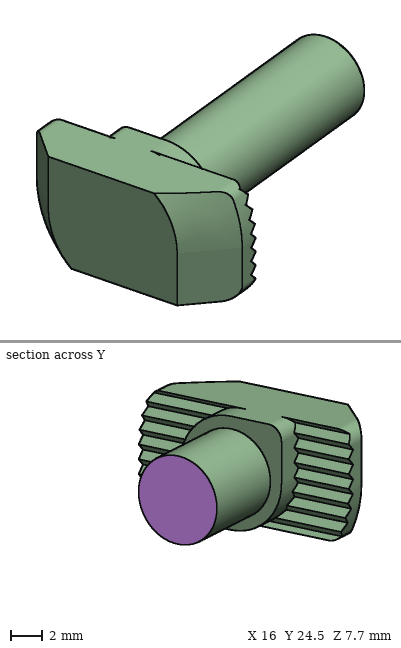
import cadquery as cq
import math

total_length = 24.5
head_width = 16.0
head_height = 7.7
head_thickness = 4.5
head_bevel = 3.0
corner_radius = 1.0

neck_length = 1.5
shank_diameter = 6.0
shank_chamfer = 0.61

tooth_pitch = 1.0
tooth_depth = tooth_pitch / 2

half_width = head_width / 2
half_height = head_height / 2
neck_end = head_thickness + neck_length


def along_bolt(start, diameter, length):
    """Cylinder on the bolt axis, running in +Y from start."""
    plane = cq.Workplane("XZ", origin=(0, start, 0))
    return plane.circle(diameter / 2).extrude(-length)


def neck_corner_blocks(start, length):
    """Rounded square corners in the neck's upper left and lower right quarters."""
    square = (
        cq.Workplane("XZ", origin=(0, start, 0))
        .rect(head_height, head_height)
        .extrude(-length)
        .edges("|Y")
        .fillet(corner_radius)
    )
    quarters = (
        cq.Workplane("XZ", origin=(0, start, 0))
        .pushPoints([(-half_height / 2, half_height / 2), (half_height / 2, -half_height / 2)])
        .rect(half_height, half_height)
        .extrude(-length)
    )
    return square.intersect(quarters)


def turning_head_outline():
    """Head outline: square in two opposite quarters, round in the other two."""
    curve_x = math.sqrt(half_width**2 - half_height**2)
    mid_angle = math.asin(half_height / half_width) / 2
    arc_x = half_width * math.cos(mid_angle)
    arc_z = half_width * math.sin(mid_angle)
    return (
        cq.Workplane("XZ")
        .moveTo(-half_width, half_height)
        .lineTo(curve_x, half_height)
        .threePointArc((arc_x, arc_z), (half_width, 0))
        .lineTo(half_width, -half_height)
        .lineTo(-curve_x, -half_height)
        .threePointArc((-arc_x, -arc_z), (-half_width, 0))
        .close()
        .extrude(-head_thickness)
        .edges("|Y and (>Z or <Z)")
        .fillet(corner_radius)
    )


def bevel_envelope():
    """Flat bevels on the square quarters and a cone on the round quarters."""
    front_half_width = half_width - head_bevel
    profile = [
        (0, 0),
        (front_half_width, 0),
        (half_width, head_bevel),
        (half_width, head_thickness),
        (0, head_thickness),
    ]
    flat_right = (
        cq.Workplane("XY", origin=(0, 0, -half_height)).polyline(profile).close().extrude(half_height)
    )
    flat_left = flat_right.rotate((0, 0, 0), (0, 1, 0), 180)
    cone = cq.Workplane("XY").polyline(profile).close().revolve(360, (0, 0, 0), (0, 1, 0))
    return cone.union(flat_right).union(flat_left)


def tooth_grooves():
    """V-grooves along X across the clamping face, with a tooth crest at mid-height."""
    groove_count = 2 * math.ceil(half_height / tooth_pitch)
    grooves = cq.Workplane("YZ", origin=(-half_width, 0, 0))
    for index in range(groove_count):
        z = (index - (groove_count - 1) / 2) * tooth_pitch
        grooves = grooves.moveTo(head_thickness, z - tooth_pitch / 2)
        grooves = grooves.lineTo(head_thickness - tooth_depth, z)
        grooves = grooves.lineTo(head_thickness, z + tooth_pitch / 2).close()
    return grooves.extrude(head_width)


head = turning_head_outline().intersect(bevel_envelope()).cut(tooth_grooves())

neck_start = head_thickness - tooth_depth
neck_depth = neck_end - neck_start
neck = along_bolt(neck_start, head_height, neck_depth)
neck_corners = neck_corner_blocks(neck_start, neck_depth)

shank = along_bolt(neck_end, shank_diameter, total_length - neck_end)
shank = shank.faces(">Y").chamfer(shank_chamfer)

result = head.union(neck.union(neck_corners)).union(shank)